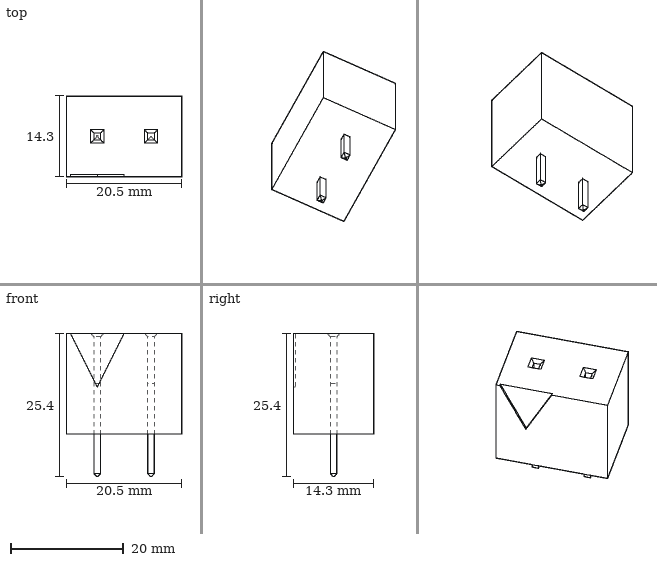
import cadquery as cq

housing_length = 20.5
housing_width = 14.3
housing_height = 17.88
overall_height = 25.4

pin_count = 2
pin_pitch = 9.52
pin_width = 1.2
pin_tip_width = 0.25
pin_tip_height = 0.53
pin_top = housing_height / 2
pin_bottom = housing_height - overall_height
first_pin_x = -pin_pitch * (pin_count - 1) / 2
pin_positions = [first_pin_x + pin_pitch * i for i in range(pin_count)]

mouth_width = 2 * pin_width
mouth_depth = (mouth_width - pin_width) / 2

marker_width = pin_pitch
marker_height = marker_width
marker_depth = 0.38


def square_taper(x, z, start_width, end_width, depth):
    """Square frustum with its first end at height z, narrowing downwards."""
    return (
        cq.Workplane("XY", origin=(x, 0, z))
        .rect(start_width, start_width)
        .workplane(offset=-depth)
        .rect(end_width, end_width)
        .loft(ruled=True)
    )


def square_bar(x, bottom, top):
    """Vertical bar with the cross-section of a pin."""
    return cq.Workplane("XY", origin=(x, 0, bottom)).rect(pin_width, pin_width).extrude(top - bottom)


def make_marker():
    """Triangular prism that reaches from the -Y face into the housing."""
    left = first_pin_x - marker_width / 2
    right = first_pin_x + marker_width / 2
    return (
        cq.Workplane("XZ", origin=(0, -housing_width / 2, 0))
        .moveTo(left, housing_height)
        .lineTo(right, housing_height)
        .lineTo(first_pin_x, housing_height - marker_height)
        .close()
        .extrude(-marker_depth)
    )


def make_housing():
    """Block with the marker recess and a through socket for each pin."""
    body = cq.Workplane("XY").rect(housing_length, housing_width).extrude(housing_height)
    body = body.cut(make_marker())
    for x in pin_positions:
        body = body.cut(square_bar(x, 0, housing_height))
        body = body.cut(square_taper(x, housing_height, mouth_width, pin_width, mouth_depth))
    return body


def make_pin(x):
    """Square pin that fills the lower part of its socket and ends in a tapered tip."""
    tip_start = pin_bottom + pin_tip_height
    shank = square_bar(x, tip_start, pin_top)
    tip = square_taper(x, tip_start, pin_width, pin_tip_width, pin_tip_height)
    return shank.union(tip)


housing = make_housing()
pins = [make_pin(x) for x in pin_positions]

result = cq.Compound.makeCompound([housing.val(), *[pin.val() for pin in pins]])